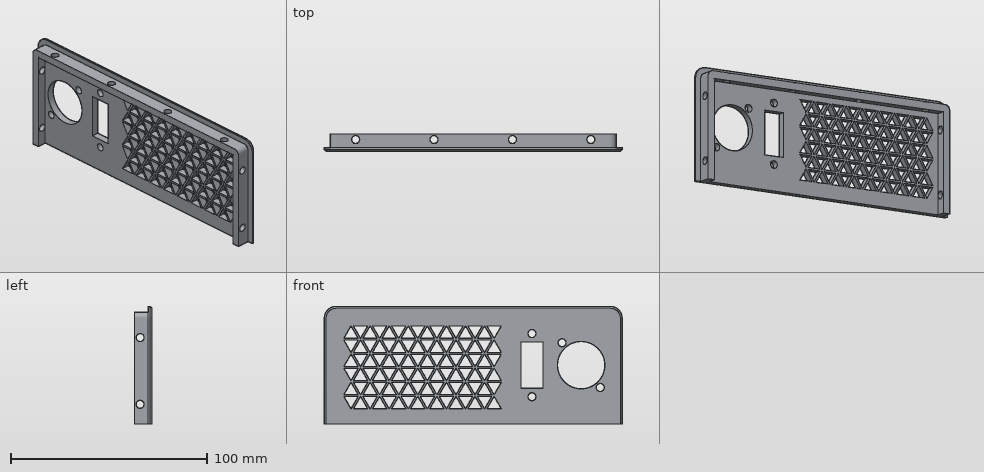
import cadquery as cq
import math

flange_width = 152.0
flange_height = 60.0
flange_thickness = 2.0
flange_corner_radius = 6.1
flange_chamfer = 1.0

total_depth = 9.0
rim_inset = 3.0
rim_thickness = 4.0
floor_depth = 4.0

screw_diameter = 4.0

rim_hole_y = 6.1
top_hole_count = 4
top_hole_pitch = 40.0
side_hole_heights = (10.0, 44.1)

grid_center_x = -25.8
grid_center_z = 28.9
grid_rows = 6
grid_columns = 16
triangle_base = 7.1
triangle_height = triangle_base * math.sqrt(3) / 2
row_gap = 1.0
row_pitch = triangle_height + row_gap
column_pitch = 4.9

face_center_z = flange_height / 2
window_x = 30.0
window_width = 11.1
window_height = 23.4
window_screw_offset = 16.1

connector_x = 55.0
connector_diameter = 24.0
connector_screw_dx = 9.7
connector_screw_dz = 11.4


def upright_block(width, height, y_start, y_end):
    """Block centred on X, standing on Z = 0, between two Y positions."""
    block = cq.Workplane("XY").box(width, y_end - y_start, height, centered=(True, False, False))
    return block.translate((0, y_start, 0))


def face_workplane():
    """Workplane on the outer face; its normal points out of the part, so cuts extrude negatively."""
    return cq.Workplane("XZ")


def make_flange():
    plate = upright_block(flange_width, flange_height, 0, flange_thickness)
    plate = plate.edges("|Y and >Z").fillet(flange_corner_radius)
    front_edges = plate.faces("<Y").edges("not <Z")
    return front_edges.chamfer(flange_chamfer)


def make_body():
    width = flange_width - 2 * rim_inset
    height = flange_height - rim_inset
    body = upright_block(width, height, flange_thickness, total_depth)
    body = body.edges("|Y and >Z").fillet(flange_corner_radius - rim_inset)
    recess = upright_block(width - 2 * rim_thickness, height - rim_thickness, floor_depth, total_depth)
    return body.cut(recess)


def make_rim_holes():
    top_holes = (
        cq.Workplane("XY")
        .center(0, rim_hole_y)
        .rarray(top_hole_pitch, 1.5, top_hole_count, 1)
        .circle(screw_diameter / 2)
        .extrude(flange_height)
    )
    side_holes = (
        cq.Workplane("YZ")
        .pushPoints([(rim_hole_y, z) for z in side_hole_heights])
        .circle(screw_diameter / 2)
        .extrude(flange_width / 2, both=True)
    )
    return top_holes, side_holes


def make_vent_grid():
    """Rows of triangles that alternate between pointing up and pointing down."""
    grid = face_workplane()
    for row in range(grid_rows):
        z = grid_center_z + (row - (grid_rows - 1) / 2) * row_pitch
        for column in range(grid_columns):
            x = grid_center_x + (column - (grid_columns - 1) / 2) * column_pitch
            points_up = (row + column) % 2 == 1
            half_rise = triangle_height / 2 if points_up else -triangle_height / 2
            grid = (
                grid.moveTo(x - triangle_base / 2, z - half_rise)
                .lineTo(x + triangle_base / 2, z - half_rise)
                .lineTo(x, z + half_rise)
                .close()
            )
    return grid.extrude(-total_depth)


def make_window():
    window = face_workplane().center(window_x, face_center_z).rect(window_width, window_height)
    return window.extrude(-total_depth)


def make_connector_opening():
    opening = face_workplane().center(connector_x, face_center_z).circle(connector_diameter / 2)
    return opening.extrude(-total_depth)


def make_face_screw_holes():
    centers = [
        (window_x, face_center_z + window_screw_offset),
        (window_x, face_center_z - window_screw_offset),
        (connector_x - connector_screw_dx, face_center_z + connector_screw_dz),
        (connector_x + connector_screw_dx, face_center_z - connector_screw_dz),
    ]
    return face_workplane().pushPoints(centers).circle(screw_diameter / 2).extrude(-total_depth)


result = make_flange().union(make_body())
for rim_holes in make_rim_holes():
    result = result.cut(rim_holes)
result = (
    result.cut(make_vent_grid())
    .cut(make_window())
    .cut(make_connector_opening())
    .cut(make_face_screw_holes())
)